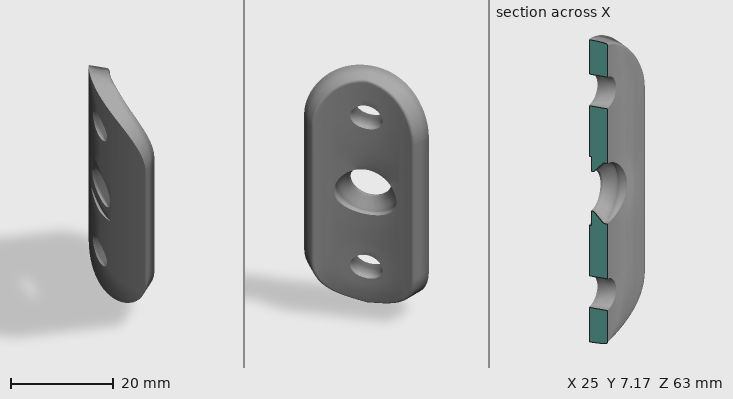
import cadquery as cq
import math

LENGTH = 63.0
WIDTH = 25.0
THICKNESS = 4.0
INNER_RADIUS = 33.7 / 2
OUTER_RADIUS = INNER_RADIUS + THICKNESS
HALF_ANGLE = math.asin(WIDTH / 2 / OUTER_RADIUS)
CORNER_RADIUS = WIDTH / 2
RIM_FILLET = 0.5

END_HOLE_DIAMETER = 6.5
END_HOLE_SPACING = 42.0

CENTRE_HOLE_DIAMETER = 8.2
SPOTFACE_DIAMETER = 14.2
SPOTFACE_DEPTH = 0.5
COUNTERBORE_DIAMETER = 12.5
LIP_THICKNESS = 0.5

CUT_DEPTH = OUTER_RADIUS


def point_on_arc(radius, angle):
    """XY point on a circle about the bend axis; angle zero is the middle of the plate."""
    return (radius * math.sin(angle), OUTER_RADIUS - radius * math.cos(angle))


def bent_strip():
    """Square-ended strip with concentric faces and radial long sides."""
    return (
        cq.Workplane("XY")
        .moveTo(*point_on_arc(OUTER_RADIUS, -HALF_ANGLE))
        .threePointArc(point_on_arc(OUTER_RADIUS, 0), point_on_arc(OUTER_RADIUS, HALF_ANGLE))
        .lineTo(*point_on_arc(INNER_RADIUS, HALF_ANGLE))
        .threePointArc(point_on_arc(INNER_RADIUS, 0), point_on_arc(INNER_RADIUS, -HALF_ANGLE))
        .close()
        .extrude(LENGTH / 2, both=True)
    )


def rounded_side_envelope(side):
    """Block bounded by one long side, its two corners rounded along that side's radial direction."""
    side_angle = side * HALF_ANGLE
    outward = cq.Vector(side * math.cos(side_angle), side * math.sin(side_angle), 0)
    towards_axis = cq.Vector(-math.sin(side_angle), math.cos(side_angle), 0)
    plane = cq.Plane(origin=point_on_arc(OUTER_RADIUS, side_angle) + (0,), xDir=outward, normal=towards_axis)
    return (
        cq.Workplane(plane)
        .center(-WIDTH, 0)
        .rect(2 * WIDTH, LENGTH)
        .extrude(OUTER_RADIUS, both=True)
        .edges(cq.selectors.ParallelDirSelector(towards_axis))
        .edges(cq.selectors.DirectionMinMaxSelector(outward))
        .fillet(CORNER_RADIUS)
    )


def round_concave_rim(plate):
    """Round the whole rim of the concave face, the second largest face of the plate."""
    concave_face = plate.faces(cq.selectors.AreaNthSelector(-2))
    return concave_face.edges().fillet(RIM_FILLET)


def cylinder_along_y(diameter, start_y, end_y, z=0.0):
    """Cylinder parallel to Y, centred on X = 0."""
    base = cq.Vector(0, start_y, z)
    return cq.Workplane(cq.Solid.makeCylinder(diameter / 2, end_y - start_y, base, cq.Vector(0, 1, 0)))


def drill_end_holes(plate):
    """Two plain through holes near the rounded ends."""
    for end in (-1, 1):
        plate = plate.cut(cylinder_along_y(END_HOLE_DIAMETER, 0, CUT_DEPTH, end * END_HOLE_SPACING / 2))
    return plate


def drill_centre_hole(plate):
    """Spotface, through hole, 90 degree countersink and counterbore on a common axis."""
    cone_start = SPOTFACE_DEPTH + LIP_THICKNESS
    cone_height = (COUNTERBORE_DIAMETER - CENTRE_HOLE_DIAMETER) / 2
    countersink = cq.Solid.makeCone(
        CENTRE_HOLE_DIAMETER / 2,
        COUNTERBORE_DIAMETER / 2,
        cone_height,
        cq.Vector(0, cone_start, 0),
        cq.Vector(0, 1, 0),
    )
    plate = plate.cut(cylinder_along_y(SPOTFACE_DIAMETER, 0, SPOTFACE_DEPTH))
    plate = plate.cut(cylinder_along_y(CENTRE_HOLE_DIAMETER, 0, CUT_DEPTH))
    plate = plate.cut(cq.Workplane(countersink))
    return plate.cut(cylinder_along_y(COUNTERBORE_DIAMETER, cone_start + cone_height, CUT_DEPTH))


result = bent_strip()
for side in (-1, 1):
    result = result.intersect(rounded_side_envelope(side))
result = round_concave_rim(result)
result = drill_end_holes(result)
result = drill_centre_hole(result)